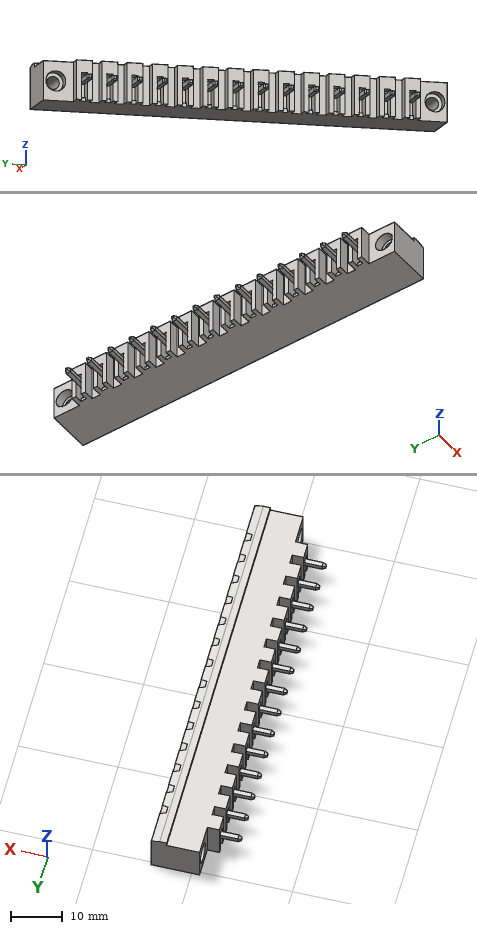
import cadquery as cq

length = 81.3
body_depth = 12.1
body_height = 7.8
end_setback = 2.4

ridge_height = 0.8
ridge_front = 9.0
ridge_slope_start = 10.4
ridge_slope_drop = 0.4

pin_count = 14
first_pin_distance = 7.6
rib_width = 3.2
gap_depth = 2.3

slot_width = 1.2
slot_height = 5.4
slot_depth = 2.3
ledge_height = 0.7
ledge_depth = 1.6

pin_size = 1.0
pin_height = 3.9
pin_reach = 4.1
pin_tip_length = 0.65
pin_tip_size = 0.5

notch_length = 1.2
notch_radius = 1.6
notch_depth = 0.2
notch_tilt = 22.0

hole_diameter = 2.5
counterbore_diameter = 4.0
counterbore_depth = 2.0
hole_end_distance = 2.5

rib_span = length - 2 * first_pin_distance
pitch = rib_span / (pin_count - 1)
pin_positions = [index * pitch - rib_span / 2 for index in range(pin_count)]
ridge_top = body_height + ridge_height


def block(x_start, x_end, y_center, width, z_start, z_end):
    """Box between two X and two Z levels, centred on y_center."""
    size = (x_end - x_start, width, z_end - z_start)
    corner = (x_start, y_center - width / 2, z_start)
    return cq.Workplane("XY").box(*size, centered=False).translate(corner)


def make_housing():
    """Bar with the latch ridge, extruded along its full length."""
    profile = [
        (end_setback, 0),
        (body_depth, 0),
        (body_depth, ridge_top - ridge_slope_drop),
        (ridge_slope_start, ridge_top),
        (ridge_front, ridge_top),
        (ridge_front, body_height),
        (end_setback, body_height),
    ]
    return cq.Workplane("XZ").polyline(profile).close().extrude(length / 2, both=True)


def add_ribs(housing):
    """Front rail cut by a gap between each pair of neighbouring ribs."""
    rail = block(0, end_setback, 0, rib_span + rib_width, 0, body_height)
    for y in pin_positions[:-1]:
        rail = rail.cut(block(0, gap_depth, y + pitch / 2, pitch - rib_width, 0, body_height))
    return housing.union(rail)


def make_slot(y):
    """Slot in a rib, open to the front and below, with a low ledge at its foot."""
    upper = block(0, slot_depth, y, slot_width, ledge_height, slot_height)
    lower = block(0, ledge_depth, y, slot_width, 0, ledge_height)
    return upper.union(lower)


def make_pin(y):
    """Square pin rooted in the slot floor, with a tapered tip."""
    shoulder = pin_tip_length - pin_reach
    shank = block(shoulder, end_setback, y, pin_size, pin_height - pin_size / 2, pin_height + pin_size / 2)
    tip = (
        cq.Workplane("YZ", origin=(shoulder, y, pin_height))
        .rect(pin_size, pin_size)
        .workplane(offset=-pin_tip_length)
        .rect(pin_tip_size, pin_tip_size)
        .loft()
    )
    return shank.union(tip)


def make_notch(y):
    """Tilted cylinder whose floor sinks towards the rear, trimmed at an upright front wall."""
    start = body_depth - notch_length
    slope = ridge_slope_drop / (body_depth - ridge_slope_start)
    floor_height = ridge_top - (start - ridge_slope_start) * slope - notch_depth
    channel = (
        cq.Workplane("YZ", origin=(0, 0, notch_radius))
        .circle(notch_radius)
        .extrude(2 * notch_length, both=True)
        .rotate((0, 0, 0), (0, 1, 0), notch_tilt)
        .translate((start, y, floor_height))
    )
    window = block(start, body_depth, y, pitch, 0, ridge_top)
    return channel.intersect(window)


def make_fixing_hole(y):
    """Through hole along X with a counterbore from the front."""
    face = cq.Workplane("YZ", origin=(end_setback, y, pin_height))
    hole = face.circle(hole_diameter / 2).extrude(body_depth)
    counterbore = face.circle(counterbore_diameter / 2).extrude(counterbore_depth)
    return hole.union(counterbore)


result = add_ribs(make_housing())
for position in pin_positions:
    result = result.cut(make_slot(position))
    result = result.cut(make_notch(position))
    result = result.union(make_pin(position))
for side in (-1, 1):
    result = result.cut(make_fixing_hole(side * (length / 2 - hole_end_distance)))